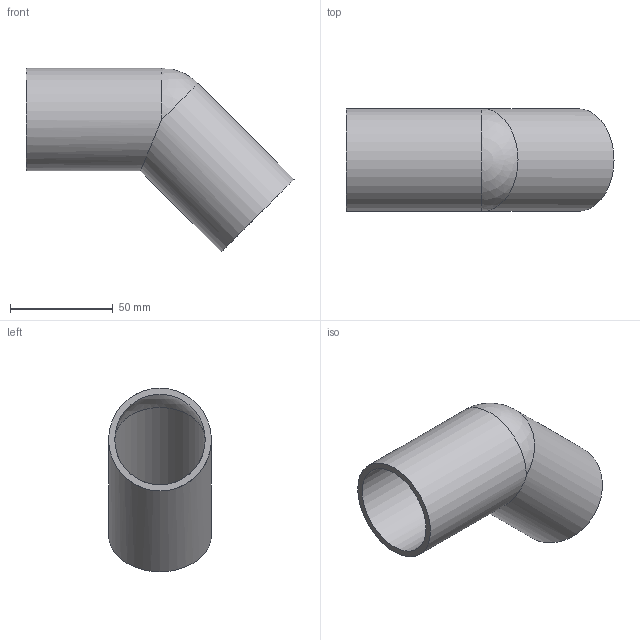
import cadquery as cq
import math

outer_diameter = 50.0
inner_diameter = 44.0

leg_length = 66.0
bend_angle = math.radians(45.0)

bend_centre = cq.Vector(0, 0, 0)
inlet_direction = cq.Vector(-1, 0, 0)
outlet_direction = cq.Vector(math.cos(bend_angle), 0, -math.sin(bend_angle))


def leg(diameter, direction):
    """Solid round bar running from the bend centre to one open end."""
    return cq.Workplane(cq.Solid.makeCylinder(diameter / 2, leg_length, bend_centre, direction))


def elbow(diameter):
    """Two bars of equal diameter joined by a ball at the bend centre."""
    ball = cq.Workplane("XY").sphere(diameter / 2)
    return leg(diameter, inlet_direction).union(leg(diameter, outlet_direction)).union(ball)


result = elbow(outer_diameter).cut(elbow(inner_diameter))